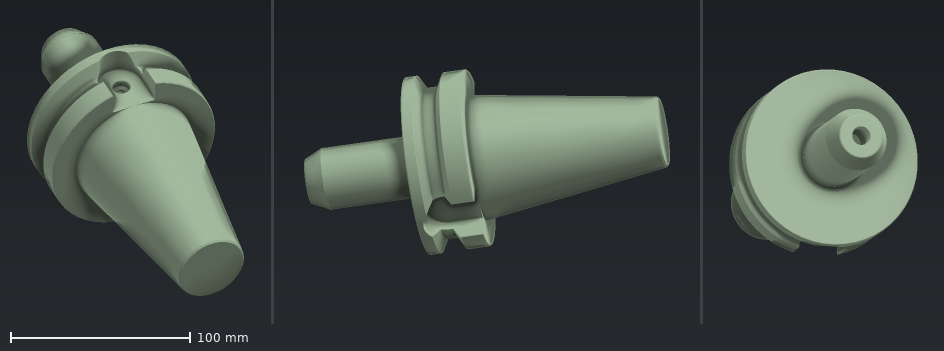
import cadquery as cq
import math

length = 201.8
edge_break = 0.5

land_diameter = 35.0
relief_diameter = 34.7
land_width = 0.6
tip_radius = 12.5
nose_length = 10.5
tip_round = 1.2
shank_fillet = 2.6
bore_diameter = 10.0
bore_depth = 20.2

flange_start = 62.2
flange_end = 96.9
front_rim_radius = 50.0
rear_rim_radius = 49.8
front_rim_round = 0.8
rear_rim_chamfer = 0.6
groove_radius = 42.5
groove_floor_start = 73.0
groove_floor_end = 80.0
groove_wall_angle = 30
groove_rim_round = 0.6

taper_slope = 7 / 48
taper_large_radius = 35.3
taper_small_radius = taper_large_radius - taper_slope * (length - flange_end)
end_chamfer = 1.0

slot_width = 25.6
slot_floor_height = 35.3
slot_round_centre = 78.5
slot_floor_fillet = 1.0
slot_overrun = 10.0

screw_centre = 79.5
screw_diameter = 10.0
screw_recess = 4.0
socket_diameter = 4.0
socket_depth = 1.0
drill_point_angle = 118


def ring_edge(x, radius):
    """Selector for the circular edge of this radius about the X axis at this X."""
    slack = 0.05
    reach = radius + slack
    return cq.selectors.BoxSelector((x - slack, -reach, -reach), (x + slack, reach, reach), boundingbox=True)


def turned_body():
    """Solid of revolution made of nose, shank, grooved flange and taper."""
    land_radius = land_diameter / 2
    relief_radius = relief_diameter / 2
    relief_start = nose_length + land_width
    relief_end = flange_start - shank_fillet - land_width
    wall_slope = math.tan(math.radians(groove_wall_angle))
    groove_start = groove_floor_start - (front_rim_radius - groove_radius) * wall_slope
    groove_end = groove_floor_end + (rear_rim_radius - groove_radius) * wall_slope
    profile = [
        (0, 0),
        (0, tip_radius),
        (nose_length, land_radius),
        (relief_start, land_radius),
        (relief_start, relief_radius),
        (relief_end, relief_radius),
        (relief_end, land_radius),
        (flange_start, land_radius),
        (flange_start, front_rim_radius),
        (groove_start, front_rim_radius),
        (groove_floor_start, groove_radius),
        (groove_floor_end, groove_radius),
        (groove_end, rear_rim_radius),
        (flange_end - rear_rim_chamfer, rear_rim_radius),
        (flange_end, rear_rim_radius - rear_rim_chamfer),
        (flange_end, taper_large_radius),
        (length - end_chamfer, taper_small_radius),
        (length, taper_small_radius - end_chamfer),
        (length, 0),
    ]
    body = cq.Workplane("XY").polyline(profile).close().revolve(360, (0, 0, 0), (1, 0, 0))
    rounded_edges = [
        (0, tip_radius, tip_round),
        (flange_start, land_radius, shank_fillet),
        (flange_start, front_rim_radius, front_rim_round),
        (groove_start, front_rim_radius, groove_rim_round),
        (groove_end, rear_rim_radius, groove_rim_round),
    ]
    for x, edge_radius, rounding in rounded_edges:
        body = body.edges(ring_edge(x, edge_radius)).fillet(rounding)
    return body


def drive_slot():
    """Cutter for the upper slot: round at the front, open at the rear, filleted floor."""
    half_width = slot_width / 2
    open_end = flange_end + slot_overrun
    return (
        cq.Workplane("XY", origin=(0, 0, slot_floor_height))
        .moveTo(open_end, -half_width)
        .lineTo(slot_round_centre, -half_width)
        .threePointArc((slot_round_centre - half_width, 0), (slot_round_centre, half_width))
        .lineTo(open_end, half_width)
        .close()
        .extrude(front_rim_radius)
        .faces("<Z").edges().fillet(slot_floor_fillet)
    )


def slot_edge_breaks():
    """Prisms along the outer straight edges of the upper slot, breaking them at 45 degrees."""
    half_width = slot_width / 2
    edge_height = math.sqrt(rear_rim_radius**2 - half_width**2)
    prism = (
        cq.Workplane("YZ", origin=(groove_floor_end, 0, 0))
        .polyline([
            (half_width, edge_height - edge_break),
            (half_width + 2 * edge_break, edge_height + edge_break),
            (half_width, edge_height + edge_break),
        ])
        .close()
        .extrude(flange_end + slot_overrun - groove_floor_end)
    )
    return prism.union(prism.mirror("XZ"))


def broken_hole(plane, diameter, depth):
    """Blind hole going along the plane's normal, with a small chamfer at its mouth."""
    hole = plane.circle(diameter / 2).extrude(depth)
    mouth = plane.circle(diameter / 2 + edge_break).extrude(edge_break, taper=45)
    return hole.union(mouth)


def screw_recess_cut():
    """Recess above the screw head, with a drill-pointed socket in its centre."""
    floor_centre = (screw_centre, 0, slot_floor_height)
    into_floor = cq.Plane(origin=floor_centre, xDir=(1, 0, 0), normal=(0, 0, -1))
    recess = broken_hole(cq.Workplane(into_floor), screw_diameter, screw_recess)
    socket_radius = socket_diameter / 2
    point_depth = socket_radius / math.tan(math.radians(drill_point_angle / 2))
    socket_bottom = screw_recess + socket_depth
    socket = (
        cq.Workplane("XZ", origin=floor_centre)
        .polyline([(0, 0), (socket_radius, 0), (socket_radius, -socket_bottom), (0, -socket_bottom - point_depth)])
        .close()
        .revolve(360, (0, 0, 0), (0, 1, 0))
    )
    return recess.union(socket)


bore = broken_hole(cq.Workplane("YZ"), bore_diameter, bore_depth)
upper_slot = drive_slot().union(slot_edge_breaks())
lower_slot = upper_slot.mirror("XY")

result = turned_body().cut(bore).cut(upper_slot).cut(lower_slot).cut(screw_recess_cut())